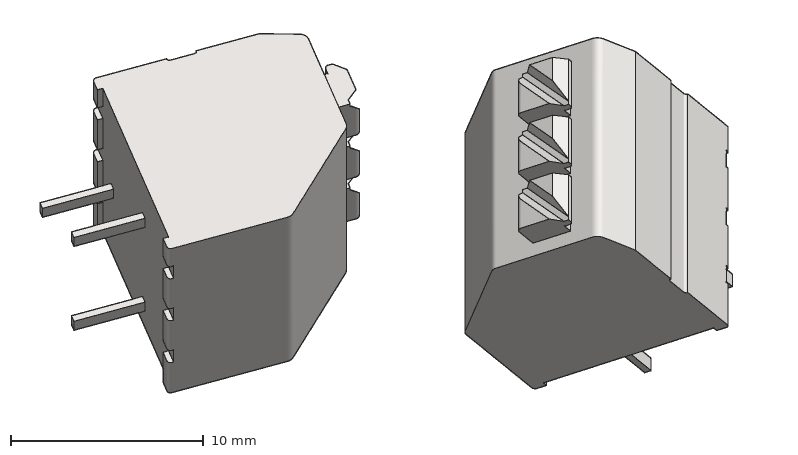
import cadquery as cq
import math

WIDTH = 12.0
HEIGHT = 12.0
OVERALL_LENGTH = 16.7
HOUSING_TOP_Y = 15.08
UNDERSIDE_Y = 3.9
FOOT_HEIGHT = 0.3
FOOT_WIDTH = 0.78
FOOT_RADIUS = 0.2
FOOT_END_Y = UNDERSIDE_Y - FOOT_HEIGHT
TAPER_HEIGHT = 2.3
TAPER_ANGLE = 20
BEVEL_SIZE = 4.7
TOP_RADIUS = 0.5

GROOVE_DEPTH = 0.15
GROOVE_TOP_Y = 9.3
GROOVE_WIDTH = 1.62

POLES = 3
PITCH = 3.49
POLE_OFFSETS = [(i - (POLES - 1) / 2) * PITCH for i in range(POLES)]

GAP_HEIGHT = 1.0
MIDDLE_GAP_Z = 6.51

PIN_WIDTH = 0.4
PIN_HEIGHT = 0.75
MIDDLE_PIN_Z = 5.26
OUTER_PIN_X = 7.28
PIN_ROW_SPACING = 5.0
PIN_X = [OUTER_PIN_X, OUTER_PIN_X - PIN_ROW_SPACING, OUTER_PIN_X]

LEVER_HEIGHT = 2.72
MIDDLE_LEVER_Z = 5.65
LEVER_LEFT_X = 2.0
LEVER_RIGHT_X = 4.83
HOOK_REACH = 0.52
HOOK_THICKNESS = 1.04
HOOK_BEVEL = 0.6
HOOK_RADIUS = 0.2
LEVER_RADIUS = 0.3

SLOT_DEPTH = 0.6
SLOT_FLOOR_WIDTH = 0.33
SLOT_MOUTH_WIDTH = 1.07
SLOT_LENGTH = 6.68


def round_edge(solid, x, y, z, radius):
    """Fillet the edge nearest to a point."""
    return solid.edges(cq.selectors.NearestToPointSelector((x, y, z))).fillet(radius)


def make_housing():
    taper_y = HOUSING_TOP_Y - TAPER_HEIGHT
    taper_x = TAPER_HEIGHT * math.tan(math.radians(TAPER_ANGLE))
    bevel_x = WIDTH - BEVEL_SIZE
    bevel_y = HOUSING_TOP_Y - BEVEL_SIZE
    housing = (
        cq.Workplane("XY")
        .moveTo(0, FOOT_END_Y)
        .lineTo(FOOT_WIDTH, FOOT_END_Y)
        .lineTo(FOOT_WIDTH, UNDERSIDE_Y)
        .lineTo(WIDTH - FOOT_WIDTH, UNDERSIDE_Y)
        .lineTo(WIDTH - FOOT_WIDTH, FOOT_END_Y)
        .lineTo(WIDTH, FOOT_END_Y)
        .lineTo(WIDTH, bevel_y)
        .lineTo(bevel_x, HOUSING_TOP_Y)
        .lineTo(taper_x, HOUSING_TOP_Y)
        .lineTo(0, taper_y)
        .close()
        .extrude(HEIGHT)
    )
    for x, y in [(taper_x, HOUSING_TOP_Y), (bevel_x, HOUSING_TOP_Y), (WIDTH, bevel_y)]:
        housing = round_edge(housing, x, y, HEIGHT / 2, TOP_RADIUS)
    for x in (0, WIDTH):
        housing = round_edge(housing, x, FOOT_END_Y, HEIGHT / 2, FOOT_RADIUS)
    return housing


def make_groove():
    """Groove cutter whose floor corners are rounded over the full depth."""
    bottom_y = GROOVE_TOP_Y - GROOVE_WIDTH
    return (
        cq.Workplane("XY")
        .moveTo(0, bottom_y)
        .radiusArc((GROOVE_DEPTH, bottom_y + GROOVE_DEPTH), -GROOVE_DEPTH)
        .lineTo(GROOVE_DEPTH, GROOVE_TOP_Y - GROOVE_DEPTH)
        .radiusArc((0, GROOVE_TOP_Y), -GROOVE_DEPTH)
        .close()
        .extrude(HEIGHT)
    )


def make_foot_gap(center_z):
    return (
        cq.Workplane("XY")
        .box(WIDTH, FOOT_HEIGHT, GAP_HEIGHT)
        .translate((WIDTH / 2, UNDERSIDE_Y - FOOT_HEIGHT / 2, center_z))
    )


def make_pin(center_x, center_z):
    return (
        cq.Workplane("XY")
        .box(PIN_WIDTH, UNDERSIDE_Y, PIN_HEIGHT)
        .translate((center_x, UNDERSIDE_Y / 2, center_z))
    )


def make_slot(center_z):
    """Trapezoidal slot cutter running along the +X +Z diagonal."""
    section = cq.Plane(
        origin=((LEVER_LEFT_X + LEVER_RIGHT_X) / 2, OVERALL_LENGTH, center_z),
        xDir=(1, 0, -1),
        normal=(1, 0, 1),
    )
    floor_y = -SLOT_DEPTH
    return (
        cq.Workplane(section)
        .moveTo(-SLOT_MOUTH_WIDTH / 2, 0)
        .lineTo(-SLOT_FLOOR_WIDTH / 2, floor_y)
        .lineTo(SLOT_FLOOR_WIDTH / 2, floor_y)
        .lineTo(SLOT_MOUTH_WIDTH / 2, 0)
        .close()
        .extrude(SLOT_LENGTH / 2, both=True)
    )


def make_lever(center_z):
    stem_x = LEVER_LEFT_X + HOOK_REACH
    hook_y = OVERALL_LENGTH - HOOK_THICKNESS
    lever = (
        cq.Workplane("XY", origin=(0, 0, center_z - LEVER_HEIGHT / 2))
        .moveTo(stem_x, HOUSING_TOP_Y)
        .lineTo(LEVER_RIGHT_X, HOUSING_TOP_Y)
        .lineTo(LEVER_RIGHT_X, OVERALL_LENGTH)
        .lineTo(LEVER_LEFT_X + HOOK_BEVEL, OVERALL_LENGTH)
        .lineTo(LEVER_LEFT_X, OVERALL_LENGTH - HOOK_BEVEL)
        .lineTo(LEVER_LEFT_X, hook_y)
        .lineTo(stem_x, hook_y)
        .close()
        .extrude(LEVER_HEIGHT)
    )
    lever = round_edge(lever, LEVER_LEFT_X, hook_y, center_z, HOOK_RADIUS)
    lever = round_edge(lever, LEVER_RIGHT_X, OVERALL_LENGTH, center_z, LEVER_RADIUS)
    return lever.cut(make_slot(center_z))


result = make_housing().cut(make_groove())
for offset, pin_x in zip(POLE_OFFSETS, PIN_X):
    result = result.cut(make_foot_gap(MIDDLE_GAP_Z + offset))
    result = result.union(make_pin(pin_x, MIDDLE_PIN_Z + offset))
    result = result.union(make_lever(MIDDLE_LEVER_Z + offset))